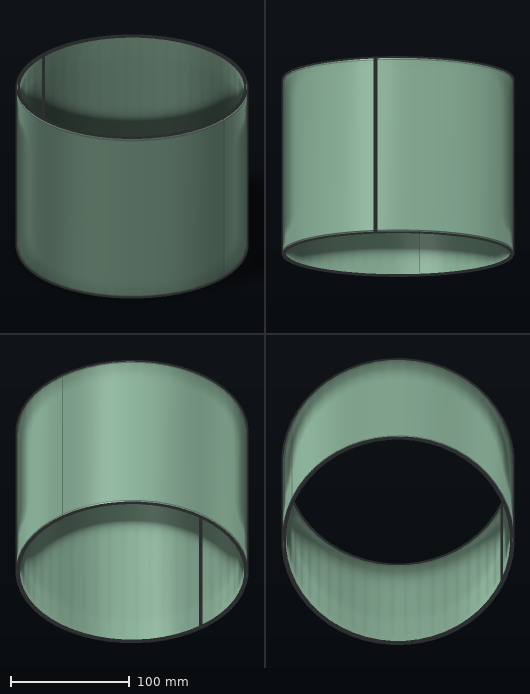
import cadquery as cq

outer_diameter = 195.0
wall = 2.5
height = 150.0
slit_width = 1.5
outer_chamfer_height = 2.0
outer_chamfer_depth = 0.5
inner_chamfer = 0.5

outer_radius = outer_diameter / 2
inner_radius = outer_radius - wall

wall_section = [
    (inner_radius, inner_chamfer),
    (inner_radius + inner_chamfer, 0),
    (outer_radius - outer_chamfer_depth, 0),
    (outer_radius, outer_chamfer_height),
    (outer_radius, height - outer_chamfer_height),
    (outer_radius - outer_chamfer_depth, height),
    (inner_radius + inner_chamfer, height),
    (inner_radius, height - inner_chamfer),
]
sleeve = cq.Workplane("XZ").polyline(wall_section).close().revolve(360, (0, 0), (0, 1))

slit = cq.Workplane("XY").box(outer_radius, slit_width, height, centered=False)
slit = slit.translate((-outer_radius, 0, 0))

result = sleeve.cut(slit)